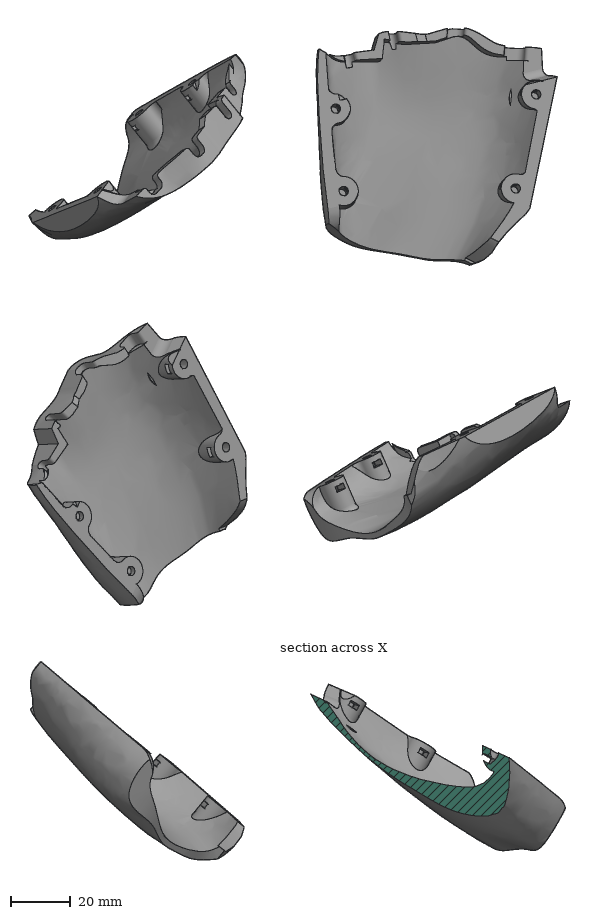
import cadquery as cq
import math

RIM_NORMAL = (-0.678, 0.126, 0.724)
ALONG_SHELL = (0.73, 0, 0.684)
rim_frame = cq.Plane(origin=(0, 0, 0), xDir=ALONG_SHELL, normal=RIM_NORMAL)

RIM_HEIGHT = 10.1
TOP_LIMIT = 17.2
BOTTOM_LIMIT = -17.2
REACH = 34.45
CLEARANCE = 51.7


OUTER_SECTIONS = {
    -40.5: [
        (43.75, 10.3), (43.9, 0), (41.8, -4.7), (31, -6), (18.95, -10.3),
        (6, -7.75), (-0.9, -4.3), (-4.3, -0.9), (-6.2, 4.3), (-7.75, 11.2),
    ],
    -25.8: [
        (42.6, 10.3), (42.8, 0), (41.3, -4.7), (31, -7.75), (18.95, -11.2),
        (6, -10.3), (-7.75, -7.3), (-16.4, -2.6), (-25, 6), (-27.6, 11.2),
    ],
    -10.3: [
        (41.4, 10.3), (41.6, 0), (38.8, -6), (29.3, -9.9), (17.2, -11.6),
        (4.3, -11.2), (-10.3, -8.6), (-22.4, -4.3), (-33.2, 2.4), (-39.6, 10.3),
    ],
    4.3: [
        (39.2, 10.3), (39.0, 1.7), (36.2, -4.3), (27.6, -8.6), (15.5, -10.8),
        (2.6, -10.3), (-12.1, -8.6), (-25.8, -4.3), (-40.3, 4.3), (-43.9, 10.3),
    ],
    21.5: [
        (35.8, 10.3), (35.1, 3.45), (32.7, -0.9), (25, -5.2), (13.8, -8.6),
        (1.7, -8.9), (-12.1, -8.2), (-27.6, -5.4), (-42.6, 2.6), (-45.5, 10.3),
    ],
    44.8: [
        (28.8, 10.3), (28.1, 5.2), (25.4, 1.7), (20.7, -0.9), (9.5, -3.45),
        (0, -4.7), (-15.5, -5.8), (-29.3, -4.3), (-44.4, 3.45), (-48.2, 10.3),
    ],
}
INNER_SECTIONS = {
    -43.1: [
        (41.3, 10.3), (39.2, 0), (34.45, -3.45), (19.8, -8.6),
        (7.75, -5.6), (3.45, -1.7), (0.9, 3.45), (-1.7, 11.2),
    ],
    -35.3: [
        (40.5, 10.3), (38.8, 0), (33.6, -3.9), (20.2, -8.5),
        (9.5, -6.9), (-0.9, -2.15), (-4.7, 3.45), (-8.6, 11.2),
    ],
    -25.8: [
        (39.6, 10.3), (37.9, 0.9), (32.7, -2.6), (19.8, -8.2),
        (6.9, -7.75), (-6.9, -3.0), (-12.9, 2.6), (-19.8, 11.2),
    ],
    -10.3: [
        (37.3, 10.3), (35.6, 1.7), (30.15, -1.7), (18.1, -5.6),
        (2.6, -7.75), (-16.4, -3.45), (-23.25, 2.6), (-29.45, 11.2),
    ],
    4.3: [
        (35.0, 10.3), (32.7, 3.0), (27.6, -1.0), (17.2, -4.1),
        (1.7, -6.9), (-23.25, -3.45), (-30.15, 2.6), (-36.6, 11.2),
    ],
    21.5: [
        (32.1, 10.3), (28.85, 4.3), (24.1, 0.9), (14.6, -3.3),
        (0, -4.7), (-27.6, -3.1), (-37, 3.45), (-43.1, 11.2),
    ],
    44.8: [
        (28.4, 10.3), (25.4, 5.2), (19.8, 0.9), (9.5, -2.15),
        (0, -2.4), (-20.7, -3.0), (-40.5, 1.7), (-43.9, 11.2),
    ],
}


def skin_body(sections):
    """Solid between a skin and a flat lid above the rim, lofted through the sections."""
    wires = []
    for station, points in sections.items():
        skin = cq.Edge.makeSpline([cq.Vector(station, v, w) for v, w in points])
        back = cq.Vector(station, points[0][0], TOP_LIMIT)
        front = cq.Vector(station, points[-1][0], TOP_LIMIT)
        rise = cq.Edge.makeLine(skin.endPoint(), front)
        lid = cq.Edge.makeLine(front, back)
        drop = cq.Edge.makeLine(back, skin.startPoint())
        wires.append(cq.Wire.assembleEdges([skin, rise, lid, drop]))
    return cq.Workplane(obj=cq.Solid.makeLoft(wires, False))


def column(plan, top=TOP_LIMIT):
    """Prism of a plan outline, square to the rim."""
    base = cq.Workplane().workplane(offset=BOTTOM_LIMIT)
    return plan(base).close().extrude(top - BOTTOM_LIMIT)


LEFT_END = [(-16.1, 43.1), (-20.7, 38.3), (-24.9, 32.9), (-28.3, 25), (-30.8, 18.5),
            (-35.2, 9.2), (-38.3, 0.9), (-40.5, -1.7)]
LEFT_LOBE = [(-37.1, -10.8), (-34.2, -14.7), (-28.9, -23.95)]
FRONT_FACET_END = (12.3, -44.7)


def outer_plan(base):
    return (
        base.moveTo(-8.6, CLEARANCE).lineTo(*LEFT_END[0])
        .spline(LEFT_END[1:], includeCurrent=True)
        .lineTo(-42.6, -6)
        .spline(LEFT_LOBE, includeCurrent=True)
        .lineTo(*FRONT_FACET_END)
        .lineTo(17.2, -CLEARANCE)
        .lineTo(22.0, -CLEARANCE)
        .lineTo(23.3, -43.6)
        .spline([(26.7, -33.7), (28.85, -28.85), (33.2, -24.55), (36.4, -20.2), (37.9, -16.3)], includeCurrent=True)
        .lineTo(37.6, -9.5)
        .spline([(39.0, -1.7), (41.4, 5.6), (41.4, 9.0)], includeCurrent=True)
        .lineTo(36.5, 11.9)
        .lineTo(37.55, 20.7)
        .spline([(37.9, 26.7), (40.65, 30.3)], includeCurrent=True)
        .lineTo(40.65, CLEARANCE)
    )


def cavity_plan(base):
    return (
        base.moveTo(-CLEARANCE, CLEARANCE)
        .lineTo(-CLEARANCE, -CLEARANCE)
        .lineTo(13.1, -CLEARANCE)
        .lineTo(13.1, -37.9)
        .lineTo(17.2, -37.5)
        .lineTo(23.25, -39.6)
        .spline([(24.1, -31.9), (26.2, -26.6), (29.3, -23.3), (33.0, -20.8), (35.1, -16.4)], includeCurrent=True)
        .lineTo(34.6, -9.65)
        .lineTo(36.35, 0.4)
        .lineTo(39.2, 7.6)
        .lineTo(33.1, 10.0)
        .lineTo(35.05, 20.7)
        .spline([(36.2, 25), (39.6, 28.4)], includeCurrent=True)
        .lineTo(39.6, CLEARANCE)
    )


BACK_BOSSES = [((-7.5, 35.0), -2.8), ((20.0, 30.3), -1.3)]
FRONT_BOSSES = [((-20.7, -21.4), -2.15), ((8.3, -36.3), -0.4)]
BOSS_RADIUS = 4.9
BOSS_FLARE_RADIUS = 7.75
BOSS_FLARE_HEIGHT = 3.0
WEB_RADIUS = 2.6
BACK_RIM_HEADING = -9.9
FRONT_RIM_HEADING = -27.0
BACK_RIM_OFFSET = 1.9
FRONT_RIM_OFFSET = -2.5
HOLE_DIAMETER = 3.1
HOLE_DEPTH = 6.9
NUT_SLOT_WIDTH = 3.45
NUT_SLOT_HEIGHT = 1.9
NUT_SLOT_DEPTH = 3.0
NUT_SLOT_ANGLE = 52.0


def boss(center, foot):
    """Cylinder from the rim plane to the floor, with a concave flare at its foot."""
    bulge = 0.3
    flare_middle = (
        BOSS_RADIUS + bulge * (BOSS_FLARE_RADIUS - BOSS_RADIUS),
        foot + bulge * BOSS_FLARE_HEIGHT,
    )
    profile = (
        cq.Workplane("XZ").moveTo(0, BOTTOM_LIMIT)
        .lineTo(BOSS_FLARE_RADIUS, BOTTOM_LIMIT)
        .lineTo(BOSS_FLARE_RADIUS, foot)
        .threePointArc(flare_middle, (BOSS_RADIUS, foot + BOSS_FLARE_HEIGHT))
        .lineTo(BOSS_RADIUS, RIM_HEIGHT).lineTo(0, RIM_HEIGHT).close()
    )
    return profile.revolve(360, (0, 0, 0), (0, 1, 0)).translate((*center, 0))


def web(center, foot, rim_heading, rim_offset, side):
    """Fillet between a boss and the inner rim edge that runs past it at rim_offset."""
    fillet_v = rim_offset - math.copysign(WEB_RADIUS, rim_offset)
    fillet_u = side * math.sqrt((BOSS_RADIUS + WEB_RADIUS) ** 2 - fillet_v**2)
    height = RIM_HEIGHT - foot
    base = cq.Workplane().workplane(offset=foot)
    block = (
        base.polyline([(0, 0), (fillet_u, fillet_v), (fillet_u, 2 * rim_offset), (0, 2 * rim_offset)])
        .close().extrude(height)
    )
    round_cut = base.center(fillet_u, fillet_v).circle(WEB_RADIUS).extrude(height)
    return block.cut(round_cut).rotate((0, 0, 0), (0, 0, 1), rim_heading).translate((*center, 0))


def screw_hole(center):
    return (
        cq.Workplane().workplane(offset=RIM_HEIGHT - HOLE_DEPTH).center(*center)
        .circle(HOLE_DIAMETER / 2).extrude(HOLE_DEPTH)
    )


def nut_slot(center, inward_angle):
    """Flat slot from the screw axis out through the side of the boss."""
    return (
        cq.Workplane().box(BOSS_FLARE_RADIUS, NUT_SLOT_WIDTH, NUT_SLOT_HEIGHT, centered=(False, True, True))
        .rotate((0, 0, 0), (0, 0, 1), inward_angle)
        .translate((*center, RIM_HEIGHT - NUT_SLOT_DEPTH))
    )


BACK_RIM_END = [(-12.1, RIM_HEIGHT), (-16.8, 8.6), (-20.7, 2.6)]
FRONT_RIM_END = [(-20.4, RIM_HEIGHT), (-22.8, 8.35), (-24.55, 6.4), (-26.8, 3.0), (-28.4, 0)]
FRONT_RIM_END_HEADING = -41.0
BACK_RIM_END_START = 25.8
FRONT_RIM_END_START = -47.4


def above_rim_end(profile, start):
    """Clearance over a rim end, whose (u, w) profile runs on for one reach in +v from start."""
    top_u = profile[0][0]
    foot_w = profile[-1][1]
    return (
        cq.Workplane("XZ").workplane(offset=-start).moveTo(*profile[0])
        .spline(profile[1:], includeCurrent=True)
        .lineTo(-CLEARANCE, foot_w).lineTo(-CLEARANCE, TOP_LIMIT).lineTo(top_u, TOP_LIMIT)
        .close().extrude(-REACH)
    )


HIGH_TOOTH_TOP = 5.0
LOW_TOOTH_TOP = 2.75
WALL_TOP = [(28.25, RIM_HEIGHT), (26.3, 7.9), (22.4, HIGH_TOOTH_TOP), (-3.0, HIGH_TOOTH_TOP),
            (-6.5, LOW_TOOTH_TOP), (-CLEARANCE, LOW_TOOTH_TOP)]
WALL_START = 22.4
RAMP_START = -30.15
RAMP_TOP = (12.2, RIM_HEIGHT)
RAMP_MIDDLE = (13.6, 6)
RAMP_BEND = (14.6, 3.8)
RAMP_FOOT = (16.8, LOW_TOOTH_TOP)
NOTCHES = [
    ((37, 20.4), 3.3, 0.7, HIGH_TOOTH_TOP, 0),
    ((39.6, 4.1), 2.9, -1.7, HIGH_TOOTH_TOP, -5),
    ((37, -17.2), 5.7, -2.6, LOW_TOOTH_TOP, -20),
    ((25.8, -34.7), 6.9, -1.55, LOW_TOOTH_TOP, -20),
]
NOTCH_LENGTH = 7.75
LIP_RADIUS = 1.2
NOTCH_CORNER = 2.15


def above_wall():
    """Clearance over the stepped wall top."""
    return (
        cq.Workplane("YZ").workplane(offset=WALL_START).polyline(WALL_TOP)
        .lineTo(-CLEARANCE, TOP_LIMIT).lineTo(WALL_TOP[0][0], TOP_LIMIT).close().extrude(REACH)
    )


def above_front_ramp():
    """Clearance over the slope from the rim down to the front end of the wall."""
    return (
        cq.Workplane("XZ").workplane(offset=-RAMP_START).moveTo(*RAMP_TOP)
        .lineTo(*RAMP_MIDDLE).threePointArc(RAMP_BEND, RAMP_FOOT)
        .lineTo(CLEARANCE, LOW_TOOTH_TOP).lineTo(CLEARANCE, TOP_LIMIT).lineTo(RAMP_TOP[0], TOP_LIMIT)
        .close().extrude(REACH)
    )


def notch(place, width, floor, lip_top, heading):
    """Round-bottomed notch with rounded lips, cut through the wall."""
    half = width / 2
    corner = min(half, NOTCH_CORNER)
    lip_start = lip_top - LIP_RADIUS
    near = 1 - math.sqrt(0.5)
    profile = (
        cq.Workplane("YZ").moveTo(-half - LIP_RADIUS, lip_top)
        .threePointArc((-half - near * LIP_RADIUS, lip_top - near * LIP_RADIUS), (-half, lip_start))
        .lineTo(-half, floor + corner)
        .threePointArc((-half + near * corner, floor + near * corner), (-half + corner, floor))
    )
    if corner < half:
        profile = profile.lineTo(half - corner, floor)
    return (
        profile.threePointArc((half - near * corner, floor + near * corner), (half, floor + corner))
        .lineTo(half, lip_start)
        .threePointArc((half + near * LIP_RADIUS, lip_top - near * LIP_RADIUS), (half + LIP_RADIUS, lip_top))
        .close().extrude(NOTCH_LENGTH / 2, both=True)
        .rotate((0, 0, 0), (0, 0, 1), heading).translate((*place, 0))
    )


outer_body = skin_body(OUTER_SECTIONS).intersect(column(outer_plan, top=RIM_HEIGHT))
cavity = skin_body(INNER_SECTIONS).intersect(column(cavity_plan))
for center, foot in BACK_BOSSES + FRONT_BOSSES:
    cavity = cavity.cut(boss(center, foot))
for (center, foot), side in zip(BACK_BOSSES + BACK_BOSSES[1:], (1, -1, 1)):
    cavity = cavity.cut(web(center, foot, BACK_RIM_HEADING, BACK_RIM_OFFSET, side))
for (center, foot), side in zip(FRONT_BOSSES, (1, -1)):
    cavity = cavity.cut(web(center, foot, FRONT_RIM_HEADING, FRONT_RIM_OFFSET, side))
shell = outer_body.cut(cavity).cut(above_wall()).cut(above_front_ramp())
shell = shell.cut(above_rim_end(BACK_RIM_END, BACK_RIM_END_START))
above_front_end = above_rim_end(FRONT_RIM_END, FRONT_RIM_END_START)
shell = shell.cut(above_front_end.rotate((0, 0, 0), (0, 0, 1), FRONT_RIM_END_HEADING))
for details in NOTCHES:
    shell = shell.cut(notch(*details))
for center, _ in BACK_BOSSES:
    shell = shell.cut(screw_hole(center)).cut(nut_slot(center, NUT_SLOT_ANGLE + 180))
for center, _ in FRONT_BOSSES:
    shell = shell.cut(screw_hole(center)).cut(nut_slot(center, NUT_SLOT_ANGLE))

result = cq.Workplane(obj=shell.val().moved(rim_frame.location))